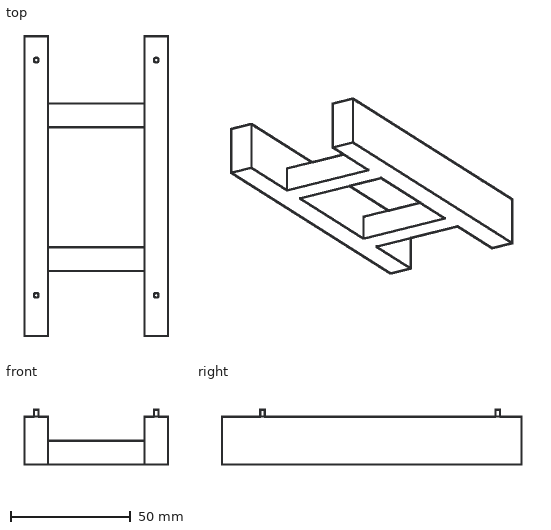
import cadquery as cq

frame_width = 60.1
rail_length = 125.25
rail_width = 10.0
rail_height = 20.0

rung_depth = 10.0
rung_height = 10.0
rung_spacing = 60.0
rung_shift = -0.5

pin_diameter = 2.0
pin_height = 3.0
pin_front_offset = 17.0
pin_back_offset = 10.0

rail_center_x = (frame_width - rail_width) / 2
front_y = -rail_length / 2
back_y = rail_length / 2


def make_rail(center_x):
    """Long bar running along Y, resting on Z = 0."""
    return (
        cq.Workplane("XY")
        .center(center_x, 0)
        .box(rail_width, rail_length, rail_height, centered=(True, True, False))
    )


def make_rung(center_y):
    """Cross bar between the rail center lines; its ends merge into the rails."""
    return (
        cq.Workplane("XY")
        .center(0, center_y)
        .box(2 * rail_center_x, rung_depth, rung_height, centered=(True, True, False))
    )


def make_pin(x, y):
    """Round pin standing on the top face of a rail."""
    return (
        cq.Workplane("XY", origin=(x, y, rail_height))
        .circle(pin_diameter / 2)
        .extrude(pin_height)
    )


rail_positions = (-rail_center_x, rail_center_x)
rung_positions = (rung_shift - rung_spacing / 2, rung_shift + rung_spacing / 2)
pin_positions = (front_y + pin_front_offset, back_y - pin_back_offset)

frame = make_rail(rail_positions[0]).union(make_rail(rail_positions[1]))
for rung_y in rung_positions:
    frame = frame.union(make_rung(rung_y))
for rail_x in rail_positions:
    for pin_y in pin_positions:
        frame = frame.union(make_pin(rail_x, pin_y))

result = frame